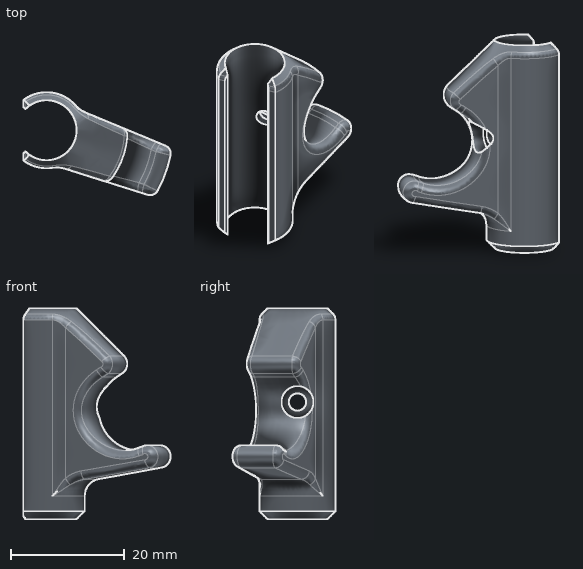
import cadquery as cq
import math

tube_height = 37.1
bore_radius = 5.25
wall = 1.45
tube_radius = bore_radius + wall
slit_face_x = -4.1
slit_half_angle = 45.0

arm_angle = -20.0
side_taper = 2.5
side_offset = 5.5
side_blend_radius = 5.0
plan_reach = 26.0

top_slope = 45.0
hook_center = (16.2, 19.15)
hook_radius = 7.0
upper_nose_radius = 2.0
upper_nose_center_z = 27.3
lower_nose_radius = 2.0
lower_nose_center = (20.22, 11.04)
underside_slope = 10.0
underside_blend_radius = 3.0

edge_round = 1.5

pin_hole_diameter = 3.0
pin_hole_z = 20.6
pin_head_diameter = 5.6
pin_head_seat_x = tube_radius

lip_top_x = -3.0
lip_slope = 55.0


def polar(center, radius, degrees):
    angle = math.radians(degrees)
    return (center[0] + radius * math.cos(angle), center[1] + radius * math.sin(angle))


def crossing_tangent_angle(hollow, hollow_radius, nose, nose_radius, turn):
    """Direction from the hollow's center to where the line crossing over to the nose touches it."""
    dx = nose[0] - hollow[0]
    dy = nose[1] - hollow[1]
    spread = math.degrees(math.acos((hollow_radius + nose_radius) / math.hypot(dx, dy)))
    return math.degrees(math.atan2(dy, dx)) + turn * spread


def revolved_profile():
    """Chamfered tube and hook as one solid of revolution about Z."""
    under_touch_angle = underside_slope - 90
    under_touch = polar(lower_nose_center, lower_nose_radius, under_touch_angle)
    rise = math.tan(math.radians(underside_slope))
    corner_z = under_touch[1] - (under_touch[0] - tube_radius) * rise
    blend_length = underside_blend_radius * math.tan(math.radians((90 - underside_slope) / 2))
    blend_start_z = corner_z - blend_length
    blend_center = (tube_radius + underside_blend_radius, blend_start_z)
    blend_end_angle = 90 + underside_slope
    blend_mid_angle = (180 + blend_end_angle) / 2

    nose_offset_z = upper_nose_radius / math.cos(math.radians(top_slope))
    cone_drop = tube_height - upper_nose_center_z - nose_offset_z
    upper_nose_center_r = bore_radius + cone_drop / math.tan(math.radians(top_slope))
    upper_nose_center = (upper_nose_center_r, upper_nose_center_z)

    low = crossing_tangent_angle(hook_center, hook_radius, lower_nose_center, lower_nose_radius, -1)
    high = crossing_tangent_angle(hook_center, hook_radius, upper_nose_center, upper_nose_radius, 1)
    high_to_top = (high - 180 + top_slope) / 2

    return (
        cq.Workplane("XZ")
        .moveTo(0, 0)
        .lineTo(bore_radius, 0)
        .lineTo(tube_radius, wall)
        .lineTo(tube_radius, blend_start_z)
        .threePointArc(
            polar(blend_center, underside_blend_radius, blend_mid_angle),
            polar(blend_center, underside_blend_radius, blend_end_angle),
        )
        .lineTo(*under_touch)
        .threePointArc(
            polar(lower_nose_center, lower_nose_radius, (under_touch_angle + low + 180) / 2),
            polar(lower_nose_center, lower_nose_radius, low + 180),
        )
        .lineTo(*polar(hook_center, hook_radius, low))
        .threePointArc(
            polar(hook_center, hook_radius, 180),
            polar(hook_center, hook_radius, high),
        )
        .lineTo(*polar(upper_nose_center, upper_nose_radius, high - 180))
        .threePointArc(
            polar(upper_nose_center, upper_nose_radius, high_to_top),
            polar(upper_nose_center, upper_nose_radius, top_slope),
        )
        .lineTo(bore_radius, tube_height)
        .lineTo(0, tube_height)
        .close()
        .revolve(360, (0, 0, 0), (0, 1, 0))
        .rotate((0, 0, 0), (0, 0, 1), 180)
    )


def plan_prism():
    """Tube circle running through blends into the two flat arm sides, drawn with the arm along +X."""
    normal_angle = 90 - side_taper
    lean = math.acos((side_offset + side_blend_radius) / (tube_radius + side_blend_radius))
    blend_angle = normal_angle - math.degrees(lean)
    blend_center = polar((0, 0), tube_radius + side_blend_radius, blend_angle)
    tube_touch = polar((0, 0), tube_radius, blend_angle)
    side_touch = polar(blend_center, side_blend_radius, normal_angle + 180)
    blend_mid = polar(blend_center, side_blend_radius, (blend_angle + normal_angle) / 2 + 180)
    reach_y = side_touch[1] - (plan_reach - side_touch[0]) * math.tan(math.radians(side_taper))

    def mirrored(point):
        return (point[0], -point[1])

    return (
        cq.Workplane("XY")
        .moveTo(*tube_touch)
        .threePointArc(blend_mid, side_touch)
        .lineTo(plan_reach, reach_y)
        .lineTo(plan_reach, -reach_y)
        .lineTo(*mirrored(side_touch))
        .threePointArc(mirrored(blend_mid), mirrored(tube_touch))
        .threePointArc((-tube_radius, 0), tube_touch)
        .close()
        .extrude(tube_height)
        .rotate((0, 0, 0), (0, 0, 1), arm_angle)
    )


def round_side_edges(part):
    """Round the edges where the revolved faces meet the tube rim and the arm sides."""
    side_edges = part.edges("%HYPERBOLA or %BSPLINE")
    return side_edges.fillet(edge_round)


def bore_cutter():
    return cq.Workplane("XY").circle(bore_radius).extrude(tube_height)


def slit_cutter():
    """Wedge open toward -X plus everything beyond the flat slit face."""
    half_width = plan_reach * math.tan(math.radians(slit_half_angle))
    wedge = (
        cq.Workplane("XY")
        .polyline([(0, 0), (-plan_reach, half_width), (-plan_reach, -half_width)])
        .close()
        .extrude(tube_height)
    )
    beyond_face = (
        cq.Workplane("XY")
        .box(plan_reach, 2 * plan_reach, tube_height, centered=(True, True, False))
        .translate((slit_face_x - plan_reach / 2, 0, 0))
    )
    return wedge.union(beyond_face)


def lip_cutter():
    """Everything above the sloped tops of both slit lips, which round over into the slit face."""
    round_center_x = slit_face_x + edge_round
    slope_normal = 90 + lip_slope
    touch_x = polar((round_center_x, 0), edge_round, slope_normal)[0]
    touch_z = tube_height - (lip_top_x - touch_x) * math.tan(math.radians(lip_slope))
    round_center_z = touch_z - edge_round * math.sin(math.radians(slope_normal))
    round_center = (round_center_x, round_center_z)
    return (
        cq.Workplane("XZ")
        .moveTo(lip_top_x, tube_height)
        .lineTo(touch_x, touch_z)
        .threePointArc(
            polar(round_center, edge_round, (slope_normal + 180) / 2),
            polar(round_center, edge_round, 180),
        )
        .lineTo(slit_face_x, tube_height)
        .close()
        .extrude(tube_radius, both=True)
    )


def pin_hole_cutter():
    """Round hole along +X from the bore into the hook, wider outside the tube wall for a pin head."""
    shank = cq.Workplane("YZ").center(0, pin_hole_z).circle(pin_hole_diameter / 2).extrude(plan_reach)
    head = (
        cq.Workplane("YZ", origin=(pin_head_seat_x, 0, pin_hole_z))
        .circle(pin_head_diameter / 2)
        .extrude(plan_reach)
    )
    return shank.union(head)


body = revolved_profile().intersect(plan_prism())
body = round_side_edges(body)
body = body.cut(bore_cutter()).cut(slit_cutter())
result = body.cut(lip_cutter()).cut(pin_hole_cutter())